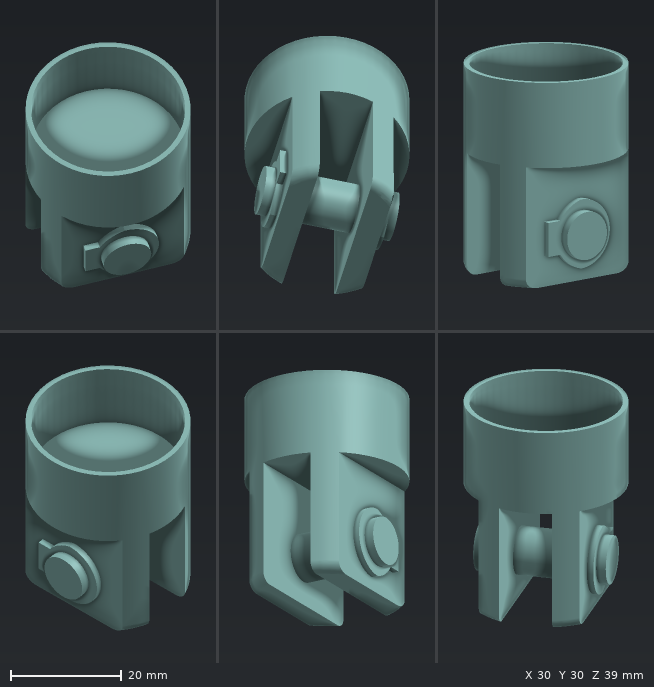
import cadquery as cq

total_height = 39.0
outer_diameter = 30.0
cup_height = 16.0
cup_bore_diameter = 28.0
cup_bore_depth = 13.0
leg_height = total_height - cup_height

leg_gap = 10.0
leg_span = 19.0
leg_thickness = (leg_span - leg_gap) / 2
leg_end_radius = 1.95

pin_diameter = 9.0
pin_length = 25.0
pin_height = pin_diameter
clip_diameter = 13.0
clip_thickness = 1.2
clip_tab_reach = 7.45
clip_tab_root = 4.7
clip_arc_mid_y = 2.7
clip_arc_mid_z = 5.25
clip_tab_width = 6.4


def make_cup():
    cup = cq.Workplane("XY").workplane(offset=leg_height).circle(outer_diameter / 2).extrude(cup_height)
    return cup.faces(">Z").workplane().hole(cup_bore_diameter, cup_bore_depth)


def make_leg(side):
    """Leg cut from the cup's cylinder, with its curved ends rounded at the bottom."""
    center_x = side * (leg_gap + leg_thickness) / 2
    slab = (
        cq.Workplane("XY")
        .center(center_x, 0)
        .rect(leg_thickness, outer_diameter)
        .extrude(leg_height)
    )
    cylinder = cq.Workplane("XY").circle(outer_diameter / 2).extrude(leg_height)
    leg = slab.intersect(cylinder)
    return leg.faces("<Z").edges("%CIRCLE").fillet(leg_end_radius)


def make_pin():
    return (
        cq.Workplane("YZ")
        .center(0, pin_height)
        .circle(pin_diameter / 2)
        .extrude(pin_length / 2, both=True)
    )


def make_clip(side):
    """Half-round clip whose flatter front arcs run into a rectangular tab toward -Y."""
    radius = clip_diameter / 2
    half_tab = clip_tab_width / 2
    return (
        cq.Workplane("YZ")
        .workplane(offset=side * leg_span / 2)
        .center(0, pin_height)
        .moveTo(0, -radius)
        .threePointArc((radius, 0), (0, radius))
        .threePointArc((-clip_arc_mid_y, clip_arc_mid_z), (-clip_tab_root, half_tab))
        .lineTo(-clip_tab_reach, half_tab)
        .lineTo(-clip_tab_reach, -half_tab)
        .lineTo(-clip_tab_root, -half_tab)
        .threePointArc((-clip_arc_mid_y, -clip_arc_mid_z), (0, -radius))
        .close()
        .extrude(side * clip_thickness)
    )


result = make_cup().union(make_pin())
for side in (-1, 1):
    result = result.union(make_leg(side)).union(make_clip(side))